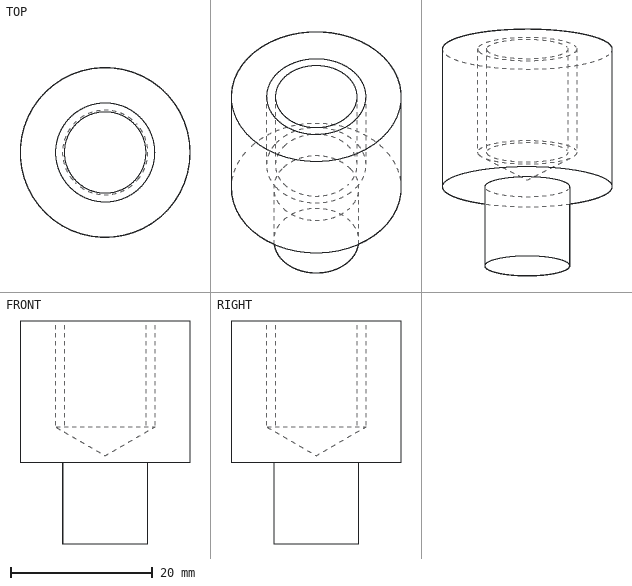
import cadquery as cq
import math

head_diameter = 24.0
head_height = 20.0
stem_diameter = 12.0
stem_length = 11.5

bore_diameter = 14.0
bore_depth = 15.0
drill_point_angle = 120.0
bore_radius = bore_diameter / 2
bore_floor = head_height - bore_depth
drill_point_depth = bore_radius / math.tan(math.radians(drill_point_angle / 2))

insert_hole_diameter = 11.5


def make_bore():
    """Drilled bore as a solid of revolution, from the top of the head down to the cone tip."""
    return (
        cq.Workplane("XZ")
        .moveTo(0, head_height)
        .lineTo(bore_radius, head_height)
        .lineTo(bore_radius, bore_floor)
        .lineTo(0, bore_floor - drill_point_depth)
        .close()
        .revolve(360, (0, 0, 0), (0, 1, 0))
    )


def make_housing():
    """Head and stem in one piece, with the blind bore open at the top."""
    head = cq.Workplane("XY").circle(head_diameter / 2).extrude(head_height)
    stem = cq.Workplane("XY").circle(stem_diameter / 2).extrude(-stem_length)
    return head.union(stem).cut(make_bore())


def make_insert():
    """Plain tube that rests above the drill point and sits flush with the top of the head."""
    return (
        cq.Workplane("XY", origin=(0, 0, bore_floor))
        .circle(bore_radius)
        .circle(insert_hole_diameter / 2)
        .extrude(bore_depth)
    )


housing = make_housing()
insert = make_insert()

result = cq.Compound.makeCompound([housing.val(), insert.val()])